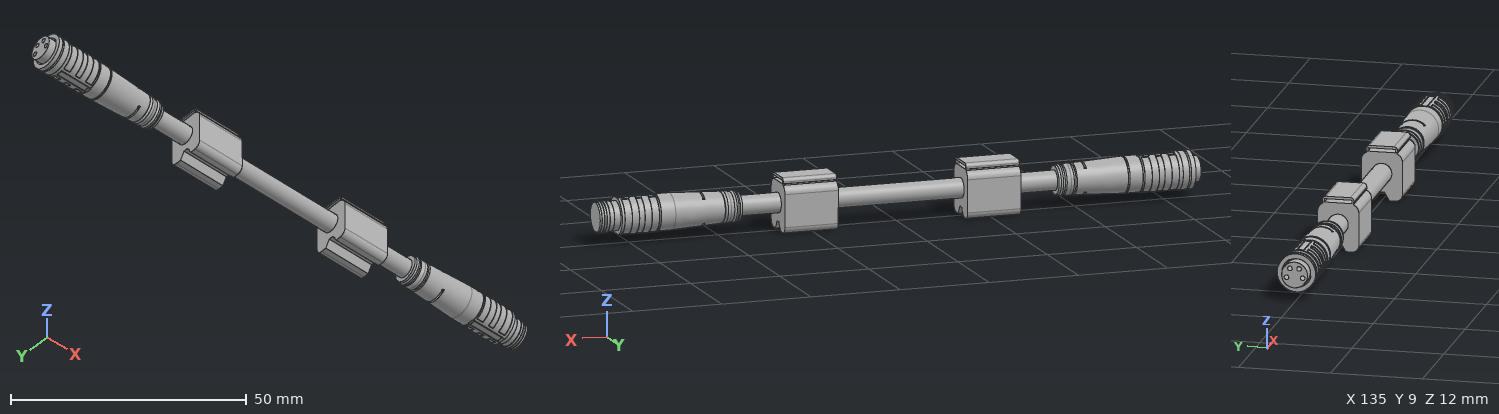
import cadquery as cq

total_length = 135.0
half_length = total_length / 2
cable_diameter = 4.4

grip_diameter = 8.3
body_diameter = 8.0
grip_end = 13.45
finger_grooves = [(5.3, 6.95), (8.55, 9.8), (11.4, 13.05)]
groove_bridge = 2.9
slot_start = finger_grooves[0][0]
slot_end = finger_grooves[-1][1]
slot_width = 1.5
slot_floor = 3.85
relief_floor = 3.95
relief_length = 0.6

handle_start = 16.7
handle_end = 28.0
sleeve_end = 32.0
sleeve_diameter = 6.9
sleeve_neck_diameter = 6.4
sleeve_tip_diameter = 6.3
sleeve_crests = [(28.7, 29.35), (30.7, 31.1)]
sleeve_ramp = 0.5

nick_width = 0.4
nick_floor = 2.6
socket_nick_station = 25.85
pin_nick_station = 23.5

nose_diameter = 5.65
nose_projection = 1.65
collar_diameter = 8.4
collar_end = 4.5
collar_groove_start = 2.65
collar_groove_end = 3.05
collar_groove_diameter = 8.3
collar_bore_diameter = 6.3
collar_bore_depth = 1.0
contact_diameter = 1.0
contact_depth = 5.0
upper_contact_y = 1.0
upper_contact_z = 1.4
lower_contact_y = 1.75
lower_contact_z = -0.6
socket_band_start = 16.35
socket_band_diameter = 7.8

spigot_length = 4.65
spigot_diameter = 6.5
spigot_rib_diameter = 6.9
spigot_edge = 3.25
spigot_base_diameter = 6.4
tip_rib_start = 0.4
tip_rib_end = 1.0
inner_rib_start = 1.55
inner_rib_end = 2.2

carrier_length = 12.0
carrier_offset = 20.5
carrier_width = 9.0
carrier_height = 11.99
shoulder_radius = 1.9
shoulder_start_z = 2.7
foot_radius = 1.5
notch_top_z = -4.15
notch_top_width = 1.1
notch_bottom_width = 3.3
holder_width = 6.9
holder_fillet = 0.8
holder_bottom_z = 4.8
neck_width = 6.6
label_slot_width = 6.0
label_slot_bottom_z = 4.7
label_slot_height = 0.75


def revolve_about_x(profile):
    """Revolve (station, diameter) points, closed along the axis, about X."""
    points = [(profile[0][0], 0)]
    points += [(station, diameter / 2) for station, diameter in profile]
    points += [(profile[-1][0], 0)]
    return cq.Workplane("XY").polyline(points).close().revolve(360, (0, 0, 0), (1, 0, 0))


def box_between(x_start, x_end, width, z_bottom, z_top):
    return (
        cq.Workplane("XY", origin=((x_start + x_end) / 2, 0, z_bottom))
        .rect(x_end - x_start, width)
        .extrude(z_top - z_bottom)
    )


def cylinder_along_x(start, end, diameter):
    return cq.Workplane("YZ", origin=(start, 0, 0)).circle(diameter / 2).extrude(end - start)


def handle_profile():
    """Tapered handle and ribbed sleeve shared by both plugs."""
    profile = [(handle_start, body_diameter), (handle_end, sleeve_diameter)]
    for crest_start, crest_end in sleeve_crests:
        profile.append((crest_start - sleeve_ramp, sleeve_neck_diameter))
        profile.append((crest_start, sleeve_diameter))
        profile.append((crest_end, sleeve_diameter))
    profile.append((sleeve_end - sleeve_ramp, sleeve_neck_diameter))
    profile.append((sleeve_end, sleeve_tip_diameter))
    return profile


def cut_finger_grooves(plug):
    """Side grooves that stop short of the top and bottom of the grip."""
    for start, end in finger_grooves:
        ring = cylinder_along_x(start, end, 2 * grip_diameter)
        ring = ring.cut(cylinder_along_x(start, end, body_diameter))
        bridge = box_between(start, end, groove_bridge, -grip_diameter, grip_diameter)
        plug = plug.cut(ring.cut(bridge))
    return plug


def cut_grip_slots(plug, relief_start):
    """Lengthwise slot on top of the grip and its twin underneath."""
    slot = box_between(slot_start, slot_end, slot_width, slot_floor, grip_diameter)
    relief = box_between(relief_start, slot_end + relief_length, slot_width, relief_floor, grip_diameter)
    slot = slot.union(relief)
    return plug.cut(slot).cut(slot.mirror("XY"))


def cut_handle_nicks(plug, station):
    """Straight cuts across the handle, one above and one below the cable."""
    start = station - nick_width / 2
    nick = box_between(start, start + nick_width, grip_diameter, nick_floor, grip_diameter)
    return plug.cut(nick).cut(nick.mirror("XY"))


def make_socket_plug():
    profile = [
        (0, nose_diameter),
        (nose_projection, nose_diameter),
        (nose_projection, collar_diameter),
        (collar_groove_start, collar_diameter),
        (collar_groove_start, collar_groove_diameter),
        (collar_groove_end, collar_groove_diameter),
        (collar_groove_end, collar_diameter),
        (collar_end, collar_diameter),
        (collar_end, grip_diameter),
        (grip_end, grip_diameter),
        (grip_end, body_diameter),
        (socket_band_start, body_diameter),
        (socket_band_start, socket_band_diameter),
        (handle_start, socket_band_diameter),
    ]
    plug = revolve_about_x(profile + handle_profile())
    plug = cut_finger_grooves(plug)
    plug = cut_grip_slots(plug, slot_start)
    plug = cut_handle_nicks(plug, socket_nick_station)
    gap_end = nose_projection + collar_bore_depth
    gap = cylinder_along_x(nose_projection, gap_end, collar_bore_diameter)
    plug = plug.cut(gap.cut(cylinder_along_x(nose_projection, gap_end, nose_diameter)))
    contacts = []
    for side in (-1, 1):
        contacts.append((side * upper_contact_y, upper_contact_z))
        contacts.append((side * lower_contact_y, lower_contact_z))
    holes = cq.Workplane("YZ").pushPoints(contacts).circle(contact_diameter / 2).extrude(contact_depth)
    return plug.cut(holes)


def make_pin_plug():
    profile = [
        (0, spigot_diameter),
        (tip_rib_start, spigot_diameter),
        (tip_rib_start, spigot_rib_diameter),
        (tip_rib_end, spigot_rib_diameter),
        (tip_rib_end, spigot_diameter),
        (inner_rib_start, spigot_diameter),
        (inner_rib_start, spigot_rib_diameter),
        (inner_rib_end, spigot_rib_diameter),
        (inner_rib_end, spigot_diameter),
        (spigot_edge, spigot_diameter),
        (spigot_edge, spigot_base_diameter),
        (spigot_length, spigot_base_diameter),
        (spigot_length, grip_diameter),
        (grip_end, grip_diameter),
        (grip_end, body_diameter),
    ]
    plug = revolve_about_x(profile + handle_profile())
    plug = cut_finger_grooves(plug)
    plug = cut_grip_slots(plug, spigot_length)
    return cut_handle_nicks(plug, pin_nick_station)


def make_carrier():
    """Label carrier centred on the origin, with its label slot on top."""
    half_width = carrier_width / 2
    half_holder = holder_width / 2
    half_neck = neck_width / 2
    top = carrier_height / 2
    shoulder_y = half_width - shoulder_radius
    shoulder_top_z = shoulder_start_z + (shoulder_radius**2 - (half_neck - shoulder_y) ** 2) ** 0.5
    body = (
        cq.Workplane("YZ", origin=(-carrier_length / 2, 0, 0))
        .moveTo(-half_width + foot_radius, -top)
        .lineTo(-notch_bottom_width / 2, -top)
        .lineTo(-notch_top_width / 2, notch_top_z)
        .lineTo(notch_top_width / 2, notch_top_z)
        .lineTo(notch_bottom_width / 2, -top)
        .lineTo(half_width - foot_radius, -top)
        .radiusArc((half_width, -top + foot_radius), -foot_radius)
        .lineTo(half_width, shoulder_start_z)
        .radiusArc((half_neck, shoulder_top_z), -shoulder_radius)
        .lineTo(half_neck, holder_bottom_z)
        .lineTo(half_holder, holder_bottom_z)
        .lineTo(half_holder, top - holder_fillet)
        .radiusArc((half_holder - holder_fillet, top), -holder_fillet)
        .lineTo(-half_holder + holder_fillet, top)
        .radiusArc((-half_holder, top - holder_fillet), -holder_fillet)
        .lineTo(-half_holder, holder_bottom_z)
        .lineTo(-half_neck, holder_bottom_z)
        .lineTo(-half_neck, shoulder_top_z)
        .radiusArc((-half_width, shoulder_start_z), -shoulder_radius)
        .lineTo(-half_width, -top + foot_radius)
        .radiusArc((-half_width + foot_radius, -top), -foot_radius)
        .close()
        .extrude(carrier_length)
    )
    label_slot = box_between(
        -carrier_length / 2,
        carrier_length / 2,
        label_slot_width,
        label_slot_bottom_z,
        label_slot_bottom_z + label_slot_height,
    )
    return body.cut(label_slot)


cable_half_length = half_length - handle_end
result = cylinder_along_x(-cable_half_length, cable_half_length, cable_diameter)
result = result.union(make_socket_plug().translate((-half_length, 0, 0)))
result = result.union(make_pin_plug().mirror("YZ").translate((half_length, 0, 0)))
for side in (-1, 1):
    result = result.union(make_carrier().translate((side * carrier_offset, 0, 0)))